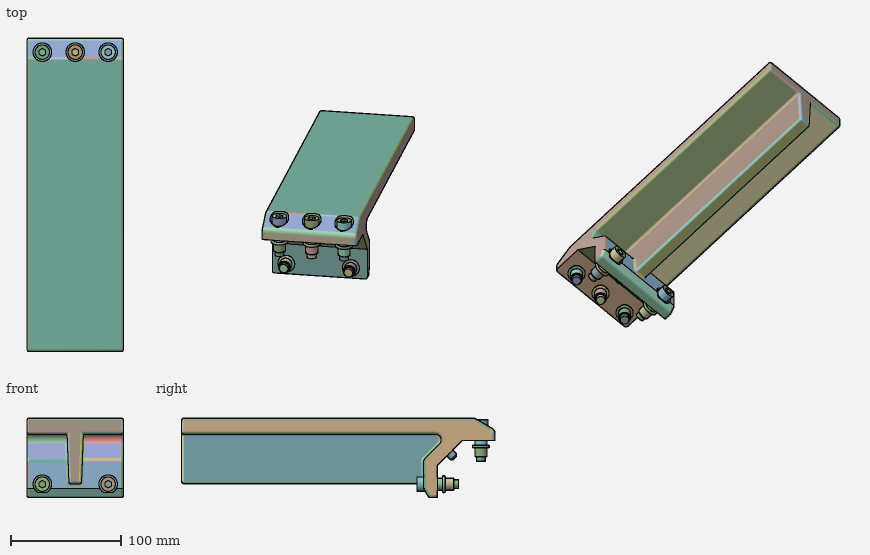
import cadquery as cq
import math

LENGTH = 285.0
WIDTH = 88.0
HEIGHT = 72.5
NOSE_Y = LENGTH / 2
FREE_END_Y = -LENGTH / 2

PLATE_THICKNESS = 14.8
PLATE_UNDERSIDE_Z = HEIGHT - PLATE_THICKNESS
NOSE_UNDERSIDE_Z = 52.0
SLOPE_LENGTH = 18.8
SLOPE_ANGLE = math.radians(30)
SLOPE_FOOT_Z = HEIGHT - SLOPE_LENGTH * math.tan(SLOPE_ANGLE)

WALL = 12.5
LEG_FRONT_Y = 77.5
LEG_BACK_Y = LEG_FRONT_Y + WALL
BRACE_BACK_Y = 113.0
BRACE_BACK_FOOT_Z = NOSE_UNDERSIDE_Z - (BRACE_BACK_Y - LEG_BACK_Y)
BRACE_BACK_OFFSET = BRACE_BACK_Y - NOSE_UNDERSIDE_Z
BRACE_FRONT_OFFSET = BRACE_BACK_OFFSET - WALL * math.sqrt(2)
BRACE_FRONT_FOOT_Z = LEG_FRONT_Y - BRACE_FRONT_OFFSET
BRACE_FRONT_TOP_Y = PLATE_UNDERSIDE_Z + BRACE_FRONT_OFFSET
FOOT_BEVEL_HEIGHT = 8.3
FOOT_BEVEL_ANGLE = math.radians(30)
FOOT_BEVEL_DEPTH = FOOT_BEVEL_HEIGHT * math.tan(FOOT_BEVEL_ANGLE)

RIB_BOTTOM_Z = 12.5
RIB_TOP_HALF_WIDTH = 7.5
RIB_BOTTOM_HALF_WIDTH = 5.7

EDGE_RADIUS = 2.3
RIB_RADIUS = 2.0
BEND_RADIUS = 5.0

SCREW_SPACING = 30.0
NOSE_SCREW_Y = 129.7
NOSE_SCREW_TOP_Z = 71.0
LEG_SCREW_Z = 12.3
LEG_SCREW_TOP_Y = 71.5
HEAD_DIAMETER = 13.0
HEAD_HEIGHT = 8.0
COUNTERBORE_DIAMETER = 16.8
SOCKET_SIDES = 6
SOCKET_FLATS = 6.0
SOCKET_DEPTH = 4.0
COLLAR_DIAMETER = 11.0
COLLAR_END = 34.0
COLLAR_BEVEL = 0.5
RING_DIAMETER = 15.7
RING_THICKNESS = 2.5
RING_CENTER = 24.5
TIP_DIAMETER = 8.3
SCREW_LENGTH = 38.0

STUD_DIAMETER = 8.0
STUD_Y = 101.5
STUD_Z = STUD_Y - BRACE_BACK_OFFSET
STUD_HEIGHT = 6.3
STUD_BEVEL = 1.5
STUD_EMBED = 2.8

TOLERANCE = 0.03


def edges_along_x(solid, places):
    """Edges parallel to X whose middle lies at one of the (y, z) places."""
    def wanted(edge):
        middle = edge.Center()
        return any(math.hypot(middle.y - y, middle.z - z) < TOLERANCE for y, z in places)

    return solid.edges("|X").filter(wanted)


def is_exposed_side_edge(edge):
    """True for outline edges of a side face, except the free end and the mounting side."""
    middle = edge.Center()
    if abs(abs(middle.x) - WIDTH / 2) > TOLERANCE:
        return False
    on_free_end = abs(middle.y - FREE_END_Y) < TOLERANCE
    on_nose_underside = abs(middle.z - NOSE_UNDERSIDE_Z) < TOLERANCE
    on_leg_back = abs(middle.y - LEG_BACK_Y) < TOLERANCE
    on_brace_back = abs(middle.y - middle.z - BRACE_BACK_OFFSET) < TOLERANCE
    return not (on_free_end or on_nose_underside or on_leg_back or on_brace_back)


def make_bracket():
    """Plate, nose, brace and leg as one extruded outline with rounded bends."""
    slope_foot = (NOSE_Y, SLOPE_FOOT_Z)
    slope_top = (NOSE_Y - SLOPE_LENGTH, HEIGHT)
    pocket_apex = (BRACE_FRONT_TOP_Y, PLATE_UNDERSIDE_Z)
    knee = (LEG_FRONT_Y, BRACE_FRONT_FOOT_Z)
    foot_corner = (LEG_FRONT_Y + FOOT_BEVEL_DEPTH, 0)
    outline = [
        (FREE_END_Y, HEIGHT),
        slope_top,
        slope_foot,
        (NOSE_Y, NOSE_UNDERSIDE_Z),
        (BRACE_BACK_Y, NOSE_UNDERSIDE_Z),
        (LEG_BACK_Y, BRACE_BACK_FOOT_Z),
        (LEG_BACK_Y, 0),
        foot_corner,
        (LEG_FRONT_Y, FOOT_BEVEL_HEIGHT),
        knee,
        pocket_apex,
        (FREE_END_Y, PLATE_UNDERSIDE_Z),
    ]
    bracket = cq.Workplane("YZ").polyline(outline).close().extrude(WIDTH / 2, both=True)
    bends = [slope_top, slope_foot, pocket_apex, knee]
    bracket = edges_along_x(bracket, bends).fillet(BEND_RADIUS)
    return edges_along_x(bracket, [foot_corner]).fillet(EDGE_RADIUS)


def make_rib():
    """Tapered rib running from the free end into the leg and brace."""
    slant = (RIB_TOP_HALF_WIDTH - RIB_BOTTOM_HALF_WIDTH) / (PLATE_UNDERSIDE_Z - RIB_BOTTOM_Z)
    root_z = PLATE_UNDERSIDE_Z + PLATE_THICKNESS / 2
    root_half_width = RIB_BOTTOM_HALF_WIDTH + slant * (root_z - RIB_BOTTOM_Z)
    section = [
        (-root_half_width, root_z),
        (root_half_width, root_z),
        (RIB_BOTTOM_HALF_WIDTH, RIB_BOTTOM_Z),
        (-RIB_BOTTOM_HALF_WIDTH, RIB_BOTTOM_Z),
    ]
    bar = (
        cq.Workplane("XZ", origin=(0, FREE_END_Y, 0))
        .polyline(section)
        .close()
        .extrude(-LENGTH)
    )
    inset = WALL / 2
    side_outline = [
        (FREE_END_Y, 0),
        (LEG_FRONT_Y + inset, 0),
        (LEG_FRONT_Y + inset, BRACE_FRONT_FOOT_Z),
        (BRACE_FRONT_TOP_Y + inset, PLATE_UNDERSIDE_Z),
        (BRACE_FRONT_TOP_Y + inset, HEIGHT),
        (FREE_END_Y, HEIGHT),
    ]
    side_shape = cq.Workplane("YZ").polyline(side_outline).close().extrude(WIDTH, both=True)
    return bar.intersect(side_shape)


def is_rib_root(edge):
    """True for the inner corners where the rib meets the plate, brace and leg."""
    box = edge.BoundingBox()
    near_rib = max(abs(box.xmin), abs(box.xmax)) < RIB_TOP_HALF_WIDTH + TOLERANCE
    clear_of_free_end = box.ymax > FREE_END_Y + TOLERANCE
    on_rib_bottom_side = box.zmax < RIB_BOTTOM_Z + TOLERANCE and box.ylen > TOLERANCE
    return near_rib and clear_of_free_end and not on_rib_bottom_side


def is_rib_bottom_side(edge):
    """True for the two long lower edges of the rib."""
    middle = edge.Center()
    on_bottom = abs(middle.z - RIB_BOTTOM_Z) < TOLERANCE
    return on_bottom and abs(abs(middle.x) - RIB_BOTTOM_HALF_WIDTH) < TOLERANCE


def make_body():
    """Bracket and rib joined, with every exposed edge rounded."""
    body = make_bracket().union(make_rib())
    body = body.edges().filter(is_rib_bottom_side).fillet(RIB_RADIUS)
    body = body.edges().filter(is_exposed_side_edge).fillet(EDGE_RADIUS)
    body = body.faces("<Y").edges().fillet(EDGE_RADIUS)
    return body.edges().filter(is_rib_root).fillet(RIB_RADIUS)


def cylinder(diameter, start, end):
    """Cylinder about Z reaching down from depth start to depth end."""
    return cq.Workplane("XY", origin=(0, 0, -end)).circle(diameter / 2).extrude(end - start)


def make_screw():
    """Socket screw pointing down with its head top at the origin, with collar and ring."""
    head = cylinder(HEAD_DIAMETER, 0, HEAD_HEIGHT)
    collar = cylinder(COLLAR_DIAMETER, HEAD_HEIGHT, COLLAR_END).faces("<Z").chamfer(COLLAR_BEVEL)
    tip = cylinder(TIP_DIAMETER, HEAD_HEIGHT, SCREW_LENGTH)
    ring_path_radius = (RING_DIAMETER - RING_THICKNESS) / 2
    ring = cq.Solid.makeTorus(ring_path_radius, RING_THICKNESS / 2, cq.Vector(0, 0, -RING_CENTER))
    half_side_angle = 180 / SOCKET_SIDES
    socket_corners = SOCKET_FLATS / math.cos(math.radians(half_side_angle))
    socket = cq.Workplane("XY").polygon(SOCKET_SIDES, socket_corners).extrude(-SOCKET_DEPTH)
    socket = socket.rotate((0, 0, 0), (0, 0, 1), half_side_angle)
    return head.union(collar).union(tip).union(cq.Workplane(ring)).cut(socket)


def make_counterbore():
    """Clearance around a screw head, open above it."""
    return cylinder(COUNTERBORE_DIAMETER, -HEAD_HEIGHT, HEAD_HEIGHT)


def on_nose(shape, x):
    """Move a screw-axis shape onto the sloped nose."""
    return shape.translate((x, NOSE_SCREW_Y, NOSE_SCREW_TOP_Z))


def on_leg(shape, x):
    """Turn a screw-axis shape to point along +Y and move it onto the leg."""
    turned = shape.rotate((0, 0, 0), (1, 0, 0), 90)
    return turned.translate((x, LEG_SCREW_TOP_Y, LEG_SCREW_Z))


def make_stud():
    """Bevelled stud square to the back of the brace, sunk a little into it."""
    backward_and_down = cq.Plane(origin=(0, STUD_Y, STUD_Z), xDir=(1, 0, 0), normal=(0, 1, -1))
    return (
        cq.Workplane(backward_and_down)
        .workplane(offset=-STUD_EMBED)
        .circle(STUD_DIAMETER / 2)
        .extrude(STUD_EMBED + STUD_HEIGHT)
        .faces(">(0, 1, -1)")
        .chamfer(STUD_BEVEL)
    )


result = make_body()

screw_seats = [(on_nose, -SCREW_SPACING), (on_nose, 0), (on_nose, SCREW_SPACING)]
screw_seats += [(on_leg, -SCREW_SPACING), (on_leg, SCREW_SPACING)]
for place, x in screw_seats:
    result = result.cut(place(make_counterbore(), x))
    result = result.union(place(make_screw(), x))

result = result.union(make_stud())